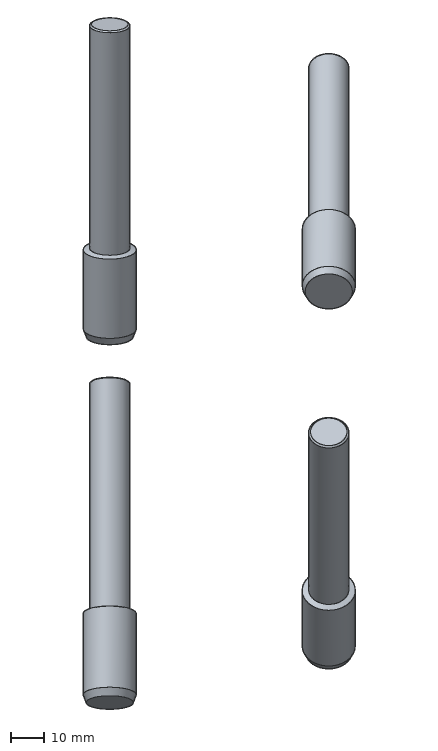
import cadquery as cq

total_length = 100.0
pin_bottom = -total_length / 2

base_diameter = 15.9
base_radius = base_diameter / 2
base_height = 28.3
lead_in_height = 2.4
lead_in_inset = 0.9
shoulder_height = 0.5

shank_diameter = 12.1
shank_radius = shank_diameter / 2
shank_length = total_length - base_height
tip_chamfer_height = 0.4
tip_chamfer_inset = 0.6


def make_base():
    """Revolved base whose conical shoulder narrows to the shank radius."""
    return (
        cq.Workplane("XZ")
        .moveTo(0, 0)
        .lineTo(base_radius - lead_in_inset, 0)
        .lineTo(base_radius, lead_in_height)
        .lineTo(base_radius, base_height - shoulder_height)
        .lineTo(shank_radius, base_height)
        .lineTo(0, base_height)
        .close()
        .revolve(360, (0, 0, 0), (0, 1, 0))
        .translate((0, 0, pin_bottom))
    )


def make_shank():
    """Revolved shank with a chamfered tip, seated on top of the base."""
    return (
        cq.Workplane("XZ")
        .moveTo(0, 0)
        .lineTo(shank_radius, 0)
        .lineTo(shank_radius, shank_length - tip_chamfer_height)
        .lineTo(shank_radius - tip_chamfer_inset, shank_length)
        .lineTo(0, shank_length)
        .close()
        .revolve(360, (0, 0, 0), (0, 1, 0))
        .translate((0, 0, pin_bottom + base_height))
    )


base = make_base()
shank = make_shank()

result = cq.Compound.makeCompound([base.val(), shank.val()])